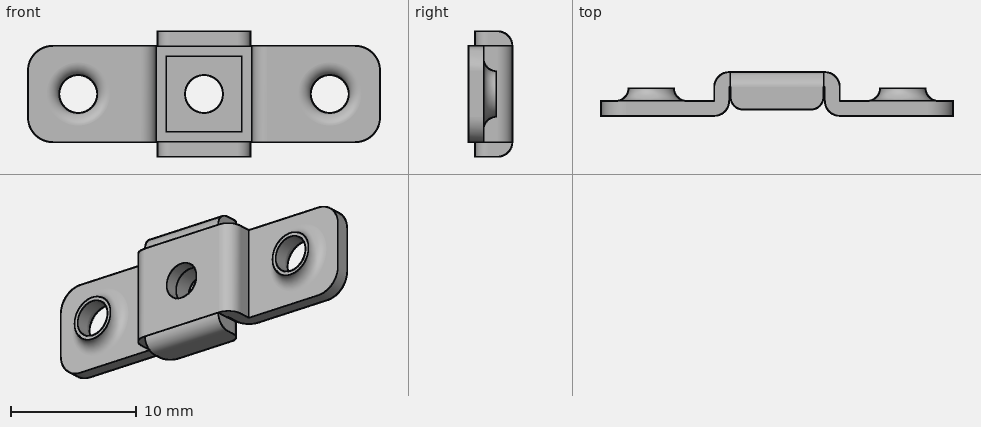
import cadquery as cq
import math

length = 28.0
depth = 3.5
height = 7.67
sheet = 1.2
plate_corner_radius = 2.0

bridge_width = 10.0
bridge_inner_width = bridge_width - 2 * sheet
bridge_floor = depth - sheet

flap_width = 7.4
flap_front = 0.5
flap_corner_radius = 1.0
overall_height = 10.0
flap_gap = overall_height - 2 * sheet

hole_diameter = 3.0
hole_radius = hole_diameter / 2
hole_spacing = 20.0
flare_radius = 1.0
collar_height = 1.0
collar_tip_radius = 1.82
collar_base_radius = collar_tip_radius + collar_height

nut_side = 6.0
nut_thickness = 1.6


def make_strap():
    """Hat-shaped sheet with rounded outer bends and rounded end corners."""
    half_length = length / 2
    half_bridge = bridge_width / 2
    half_inner = bridge_inner_width / 2
    right_half = [
        (half_bridge, depth),
        (half_bridge, sheet),
        (half_length, sheet),
        (half_length, 0),
        (half_inner, 0),
        (half_inner, bridge_floor),
    ]
    left_half = [(-x, y) for x, y in reversed(right_half)]
    strap = (
        cq.Workplane("XY")
        .workplane(offset=-height / 2)
        .polyline(right_half + left_half)
        .close()
        .extrude(height)
    )
    strap = strap.edges("|Z and >Y").fillet(sheet)
    foot_bends = cq.selectors.BoxSelector(
        (-half_bridge, -sheet / 2, -height), (half_bridge, sheet / 2, height)
    )
    strap = strap.edges("|Z").edges(foot_bends).fillet(sheet)
    return strap.edges("|Y").edges("<X or >X").fillet(plate_corner_radius)


def make_flaps():
    """Channel across the bridge whose two legs are the flaps."""
    flap_length = depth - flap_front
    channel = (
        cq.Workplane("XY")
        .box(flap_width, flap_length, overall_height)
        .translate((0, flap_front + flap_length / 2, 0))
        .edges("|X and >Y")
        .fillet(sheet)
        .edges("|Z and <Y")
        .fillet(flap_corner_radius)
    )
    inside = cq.Workplane("XY").box(flap_width, bridge_floor, flap_gap).translate((0, bridge_floor / 2, 0))
    return channel.cut(inside)


def make_collar(x):
    """Concave collar raised behind the sheet around a screw hole."""
    tip = sheet + collar_height
    middle = (
        collar_tip_radius + collar_height * (1 - math.sqrt(0.5)),
        tip - collar_height * math.sqrt(0.5),
    )
    profile = (
        cq.Workplane("XY")
        .moveTo(0, sheet)
        .lineTo(collar_base_radius, sheet)
        .threePointArc(middle, (collar_tip_radius, tip))
        .lineTo(0, tip)
        .close()
    )
    return profile.revolve(360, (0, 0), (0, 1)).translate((x, 0, 0))


def make_flared_hole(x):
    """Cutter for a straight hole with a rounded, flared front mouth."""
    tip = sheet + collar_height
    mouth_radius = hole_radius + flare_radius
    middle = (
        mouth_radius - flare_radius * math.sqrt(0.5),
        flare_radius * (1 - math.sqrt(0.5)),
    )
    profile = (
        cq.Workplane("XY")
        .lineTo(mouth_radius, 0)
        .threePointArc(middle, (hole_radius, flare_radius))
        .lineTo(hole_radius, tip)
        .lineTo(0, tip)
        .close()
    )
    return profile.revolve(360, (0, 0), (0, 1)).translate((x, 0, 0))


def make_center_hole():
    """Cutter for the bore shared by the bridge and the nut."""
    return cq.Workplane("XZ").circle(hole_radius).extrude(-depth)


def make_bracket():
    bracket = make_strap().union(make_flaps())
    for x in (-hole_spacing / 2, hole_spacing / 2):
        bracket = bracket.union(make_collar(x)).cut(make_flared_hole(x))
    return bracket.cut(make_center_hole())


def make_nut():
    nut = cq.Workplane("XY").box(nut_side, nut_thickness, nut_side)
    nut = nut.translate((0, bridge_floor - nut_thickness / 2, 0))
    return nut.cut(make_center_hole())


bracket = make_bracket()
nut = make_nut()
result = cq.Compound.makeCompound([bracket.val(), nut.val()])